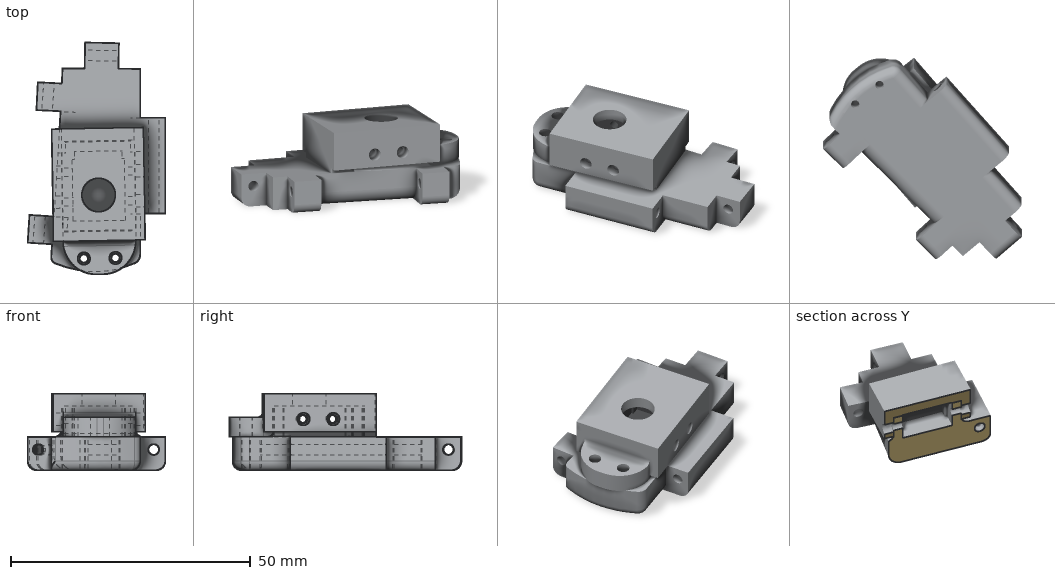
import cadquery as cq
import math


BASE_HEIGHT = 7.0
BASE_RIGHT_X = 8.7
BASE_BACK_RIGHT = (BASE_RIGHT_X, 26.33)
BASE_BACK_LEFT = (-7.55, 26.45)
BASE_LEFT_KNEE = (-7.95, 17.5)
BASE_LEFT_FRONT = (-9.97, -13.85)
BASE_RIGHT_FRONT = (BASE_RIGHT_X, -13.7)
BASE_FRONT_TIP = (-0.3, -15.95)
LEFT_CORNER_RADIUS = 1.5
RIGHT_CORNER_RADIUS = 2.0
BOTTOM_ROUND = 2.0
LEFT_BOTTOM_ROUND = 3.0
LEFT_ROUNDING_START = 6.5

LUG_HOLE_DIAMETER = 2.2
LUG_HOLE_Z = 4.33
SIDE_LUG_REACH = 5.0
SIDE_LUG_WIDTH = 5.85
LUG_ROOT = 3.0
SIDE_LUGS = [
    ((-12.85, 20.62), -2.8),
    ((-14.63, -7.05), -3.7),
]
SIDE_LUG_HOLE_OFFSET = 2.2
SIDE_LUG_HOLE_TILT = -3.8
SIDE_HOLE_LENGTH = 70.0
DRILL_OVERRUN = 1.0
BACK_LUG_MIDDLE = (0.72, 31.77)
BACK_LUG_TILT = -1.2
BACK_LUG_WIDTH = 7.1
BACK_LUG_REACH = 5.45
BACK_LUG_HOLE_OFFSET = 2.65
RIGHT_LUG_X = 13.95
RIGHT_LUG_Y = (-3.87, 16.13)
RIGHT_LUG_HOLE_X = 11.5

COVER_TURN = 1.0
COVER_TOP_Z = 16.02
COVER_WIDTH = 19.16
COVER_LENGTH = 23.45
COVER_MIDDLE_Y = 2.2
COVER_WALL = 2.0
COVER_BACK_WALL = 2.55
COVER_ROOF = 2.5
SIDE_GAP = 1.0
OPENING_DIAMETER = 7.0
CAVITY_WIDTH = COVER_WIDTH - 2 * COVER_WALL
COVER_FRONT_Y = COVER_MIDDLE_Y - COVER_LENGTH / 2
CAVITY_FRONT_Y = COVER_FRONT_Y + COVER_WALL
CAVITY_BACK_Y = COVER_FRONT_Y + COVER_LENGTH - COVER_BACK_WALL

TONGUE_WIDTH = 15.17
TONGUE_REACH = 7.05
TONGUE_TOP_Z = 11.1
TONGUE_FLAT = 1.3
TONGUE_CORNER = (TONGUE_WIDTH - TONGUE_FLAT) / 2
TONGUE_FILLET = 1.0

CLEARANCE_DIAMETER = 2.6
PILOT_DIAMETER = 1.71
TONGUE_SCREW_SPACING = 6.6
TONGUE_SCREW_Y = -13.2
SIDE_SCREW_SPACING = 6.2
SIDE_SCREW_MIDDLE_Y = 1.83
SIDE_SCREW_Z = 10.7

RIM_WIDTH = CAVITY_WIDTH
RIM_END_CLEARANCE = 0.2
RIM_FRONT_Y = CAVITY_FRONT_Y + RIM_END_CLEARANCE
RIM_BACK_Y = 8.95
RIM_TOP_Z = COVER_TOP_Z - COVER_ROOF
RIM_FLARE = 1.5
NECK_WIDTH = 13.6
NECK_BACK_Y = CAVITY_BACK_Y - RIM_END_CLEARANCE
RIM_BORE_WIDTH = 10.9
RIM_FRONT_WALL = 2.0
RIM_BORE_FRONT_Y = RIM_FRONT_Y + RIM_FRONT_WALL
RIM_BORE_BACK_Y = 7.6
NECK_BORE_WIDTH = 9.9
NECK_BORE_BACK_Y = 9.2


def box(x_range, y_range, z_range):
    sizes = [high - low for low, high in (x_range, y_range, z_range)]
    return cq.Workplane("XY").box(*sizes, centered=False).translate((x_range[0], y_range[0], z_range[0]))


def centred_box(width, y_range, z_range):
    return box((-width / 2, width / 2), y_range, z_range)


def turned(body):
    """Turns a body from the cover's own frame into its place on the base."""
    return body.rotate((0, 0, 0), (0, 0, 1), COVER_TURN)


def edge_near(point, reach=0.5):
    """Selects the edges whose middle lies within reach of a point."""
    low = tuple(value - reach for value in point)
    high = tuple(value + reach for value in point)
    return cq.selectors.BoxSelector(low, high)


def left_rounding():
    """The material taken off the underside of the slanted left side, between the two side lugs."""
    rise_x = BASE_LEFT_KNEE[0] - BASE_LEFT_FRONT[0]
    rise_y = BASE_LEFT_KNEE[1] - BASE_LEFT_FRONT[1]
    slant = math.degrees(math.atan2(rise_x, rise_y))
    start = LEFT_ROUNDING_START
    length = math.hypot(rise_x, rise_y) - start
    radius = LEFT_BOTTOM_ROUND
    cutter = (
        cq.Workplane("XZ")
        .lineTo(radius, 0)
        .radiusArc((0, radius), radius)
        .close()
        .extrude(-length)
        .translate((0, start, 0))
    )
    return cutter.rotate((0, 0, 0), (0, 0, 1), -slant).translate((*BASE_LEFT_FRONT, 0))


def plate_outline():
    return (
        cq.Workplane("XY")
        .moveTo(*BASE_BACK_RIGHT)
        .lineTo(*BASE_BACK_LEFT)
        .lineTo(*BASE_LEFT_KNEE)
        .lineTo(*BASE_LEFT_FRONT)
        .threePointArc(BASE_FRONT_TIP, BASE_RIGHT_FRONT)
        .close()
    )


def base_plate():
    plate = plate_outline().extrude(BASE_HEIGHT)
    left_corner = edge_near((*BASE_LEFT_FRONT, BASE_HEIGHT / 2))
    left_rounded = plate.edges(left_corner).fillet(LEFT_CORNER_RADIUS)
    right_corner = edge_near((*BASE_RIGHT_FRONT, BASE_HEIGHT / 2))
    plate = plate.edges(right_corner).fillet(RIGHT_CORNER_RADIUS)
    right_middle_y = (BASE_RIGHT_FRONT[1] + BASE_BACK_RIGHT[1]) / 2
    right_bottom = edge_near((BASE_RIGHT_X, right_middle_y, 0), reach=1.0)
    plate = plate.edges(right_bottom).fillet(BOTTOM_ROUND)
    return plate.intersect(left_rounded).cut(left_rounding())


def lug(outer_middle, direction, reach, width):
    """A block reaching out of the plate along a direction (degrees), rounded below its outer end."""
    body = box((-reach - LUG_ROOT, 0), (-width / 2, width / 2), (0, BASE_HEIGHT))
    body = body.edges(">X and <Z").fillet(BOTTOM_ROUND)
    return body.rotate((0, 0, 0), (0, 0, 1), direction).translate((*outer_middle, 0))


def cross_hole(point, direction, length):
    """A level drill through the lugs, centred on a point, running along a direction (degrees)."""
    drill = cq.Workplane("YZ").circle(LUG_HOLE_DIAMETER / 2).extrude(length / 2, both=True)
    return drill.rotate((0, 0, 0), (0, 0, 1), direction).translate((*point, LUG_HOLE_Z))


def base_lugs():
    right_middle = (RIGHT_LUG_X, sum(RIGHT_LUG_Y) / 2)
    right_length = RIGHT_LUG_Y[1] - RIGHT_LUG_Y[0]
    lugs = lug(right_middle, 0, RIGHT_LUG_X - BASE_RIGHT_X, right_length)
    lugs = lugs.union(lug(BACK_LUG_MIDDLE, 90 + BACK_LUG_TILT, BACK_LUG_REACH, BACK_LUG_WIDTH))
    for outer_middle, tilt in SIDE_LUGS:
        lugs = lugs.union(lug(outer_middle, 180 + tilt, SIDE_LUG_REACH, SIDE_LUG_WIDTH))
    return lugs


def lug_holes():
    right_length = RIGHT_LUG_Y[1] - RIGHT_LUG_Y[0]
    right_hole = cross_hole((RIGHT_LUG_HOLE_X, sum(RIGHT_LUG_Y) / 2), 90, right_length + DRILL_OVERRUN)
    back_point = (BACK_LUG_MIDDLE[0], BACK_LUG_MIDDLE[1] - BACK_LUG_HOLE_OFFSET)
    back_hole = cross_hole(back_point, BACK_LUG_TILT, BACK_LUG_WIDTH + DRILL_OVERRUN)
    front_lug_x, front_lug_y = SIDE_LUGS[1][0]
    side_point = (front_lug_x + SIDE_LUG_HOLE_OFFSET, front_lug_y)
    side_hole = cross_hole(side_point, 90 + SIDE_LUG_HOLE_TILT, SIDE_HOLE_LENGTH)
    return right_hole.union(back_hole).union(side_hole)


def screw_holes(diameter):
    """Drills for the two upright tongue screws and the two level side screws."""
    tongue = (
        cq.Workplane("XY")
        .pushPoints([(side * TONGUE_SCREW_SPACING / 2, TONGUE_SCREW_Y) for side in (-1, 1)])
        .circle(diameter / 2)
        .extrude(COVER_TOP_Z)
    )
    level = (
        cq.Workplane("YZ", origin=(0, SIDE_SCREW_MIDDLE_Y, SIDE_SCREW_Z))
        .pushPoints([(side * SIDE_SCREW_SPACING / 2, 0) for side in (-1, 1)])
        .circle(diameter / 2)
        .extrude(COVER_WIDTH, both=True)
    )
    return tongue.union(level)


def rim():
    """The hollow rim inside the cover, its wide part flaring out at the foot."""
    body = centred_box(RIM_WIDTH, (RIM_FRONT_Y, RIM_BACK_Y), (BASE_HEIGHT, RIM_TOP_Z))
    body = body.union(rim_flare())
    body = body.union(centred_box(NECK_WIDTH, (0, NECK_BACK_Y), (BASE_HEIGHT, RIM_TOP_Z)))
    bore_heights = (BASE_HEIGHT, RIM_TOP_Z)
    bore = centred_box(RIM_BORE_WIDTH, (RIM_BORE_FRONT_Y, RIM_BORE_BACK_Y), bore_heights)
    bore = bore.union(centred_box(NECK_BORE_WIDTH, (0, NECK_BORE_BACK_Y), bore_heights))
    return body.cut(bore)


def rim_flare():
    """A concave quarter round along both sides and the front of the rim's foot."""
    radius = RIM_FLARE
    path = (
        cq.Workplane("XY", origin=(0, 0, BASE_HEIGHT))
        .moveTo(-RIM_WIDTH / 2, RIM_BACK_Y)
        .lineTo(-RIM_WIDTH / 2, RIM_FRONT_Y)
        .lineTo(RIM_WIDTH / 2, RIM_FRONT_Y)
        .lineTo(RIM_WIDTH / 2, RIM_BACK_Y)
    )
    profile = (
        cq.Workplane("XZ", origin=(-RIM_WIDTH / 2, RIM_BACK_Y, BASE_HEIGHT))
        .lineTo(-radius, 0)
        .radiusArc((0, radius), -radius)
        .close()
    )
    return profile.sweep(path, transition="round")


def base():
    body = base_plate().union(base_lugs()).cut(lug_holes())
    footprint = plate_outline().extrude(COVER_TOP_Z).union(base_lugs().translate((0, 0, BASE_HEIGHT)))
    body = body.union(turned(rim()).intersect(footprint))
    body = body.cut(turned(screw_holes(PILOT_DIAMETER)))
    return body.cut(turned(cover_solid()))


def tongue():
    """The rounded front tongue, joined to the cover by a concave fillet along its top."""
    y_range = (COVER_FRONT_Y - TONGUE_REACH, CAVITY_FRONT_Y)
    body = centred_box(TONGUE_WIDTH, y_range, (BASE_HEIGHT, TONGUE_TOP_Z))
    body = body.edges("|Z and <Y").fillet(TONGUE_CORNER)
    fillet = (
        cq.Workplane("YZ", origin=(0, COVER_FRONT_Y, TONGUE_TOP_Z))
        .lineTo(-TONGUE_FILLET, 0)
        .radiusArc((0, TONGUE_FILLET), -TONGUE_FILLET)
        .close()
        .extrude(TONGUE_WIDTH / 2, both=True)
    )
    return body.union(fillet)


def cover_solid():
    """The cover before drilling: a box open below, with its front and back walls resting on the base."""
    back_y = COVER_FRONT_Y + COVER_LENGTH
    shell = centred_box(COVER_WIDTH, (COVER_FRONT_Y, back_y), (BASE_HEIGHT + SIDE_GAP, COVER_TOP_Z))
    feet = centred_box(CAVITY_WIDTH, (COVER_FRONT_Y, back_y), (BASE_HEIGHT, COVER_TOP_Z))
    cavity = centred_box(CAVITY_WIDTH, (CAVITY_FRONT_Y, CAVITY_BACK_Y), (BASE_HEIGHT, RIM_TOP_Z))
    return shell.union(feet).union(tongue()).cut(cavity)


def cover():
    opening = cq.Workplane("XY").circle(OPENING_DIAMETER / 2).extrude(COVER_TOP_Z)
    return turned(cover_solid().cut(opening).cut(screw_holes(CLEARANCE_DIAMETER)))


result = cq.Compound.makeCompound([*base().solids().vals(), *cover().solids().vals()])